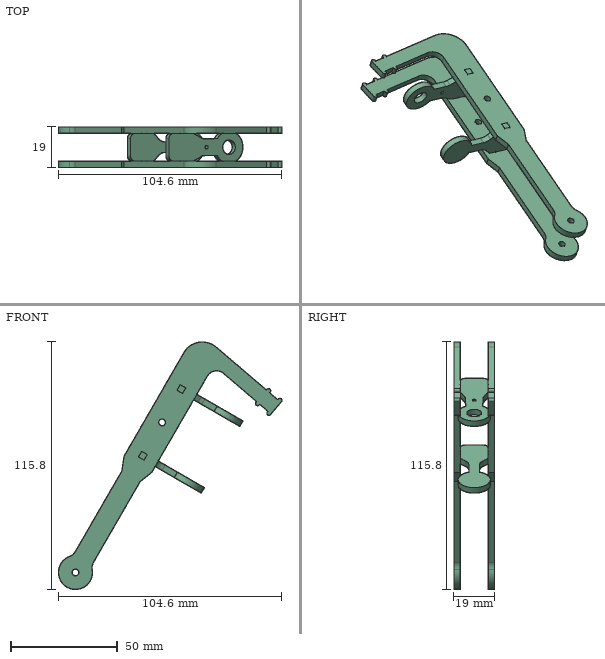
import cadquery as cq
import math

BAR_ANGLE = 60.0
ARM_ANGLE = -40.5
PLATE_THICKNESS = 3.0
PLATE_GAP = 13.0
OVERALL_HEIGHT = 115.8

HEAD_RADIUS = 8.0
HEAD_BLEND_RADIUS = 5.0
BOLT_HOLE_DIAMETER = 3.0
HANDLE_WIDTH = 10.0
BAR_WIDTH = 15.0
TAPER_START = 51.9
TAPER_END = 58.4
BEND_OUTER_RADIUS = 10.0
BEND_INNER_RADIUS = 5.0

ARM_WIDTH = 7.2
ARM_END = 21.4
NUB_WIDTH = 2.0
NUB_HEIGHT = 1.4
NUB_GAP = 5.0

LOWER_SHELF_STATION = 63.0
UPPER_SHELF_STATION = 99.0
SHELF_THICKNESS = 3.0
SHELF_LENGTH = 40.0
SHELF_CORNER_RADIUS = 2.4
SHELF_NECK_BLEND_RADIUS = 5.0
SHELF_HEAD_RADIUS = 7.5
TAB_WIDTH = 3.0
LOWER_NECK_WIDTH = 5.0
LOWER_TAPER_START = 5.1
LOWER_TAPER_END = 9.1
UPPER_NECK_WIDTH = 8.0
UPPER_TAPER_START = 5.4
UPPER_TAPER_END = 10.8
UPPER_EYE_DIAMETER = 6.7
PINHOLE_DIAMETER = 1.5
PINHOLE_OFFSET = 12.9

SHELF_STATIONS = (LOWER_SHELF_STATION, UPPER_SHELF_STATION)
MIDDLE_HOLE_STATION = sum(SHELF_STATIONS) / 2
PLATE_MID_Y = (PLATE_GAP + PLATE_THICKNESS) / 2
SHELF_HEAD_OFFSET = SHELF_LENGTH - SHELF_HEAD_RADIUS - BAR_WIDTH / 2
OUTER_WIDTH = PLATE_GAP + 2 * PLATE_THICKNESS
TURN = math.radians(BAR_ANGLE - ARM_ANGLE)
CUT_DEPTH = 4 * OUTER_WIDTH


def direction(angle):
    """Unit vector in the XZ plane at an angle above +X."""
    return math.cos(math.radians(angle)), math.sin(math.radians(angle))


def place(angle, along, left):
    """Point `along` a direction from the pivot and `left` of it, as (X, Z)."""
    dx, dz = direction(angle)
    return along * dx - left * dz, along * dz + left * dx


def meet(bar_left, arm_left):
    """Point where a line parallel to the bar crosses a line parallel to the arm."""
    along = (arm_left - bar_left * math.cos(TURN)) / math.sin(TURN)
    return place(BAR_ANGLE, along, bar_left)


BEND_CENTRE_Z = OVERALL_HEIGHT - HEAD_RADIUS - BEND_OUTER_RADIUS
BEND_LEFT = BAR_WIDTH / 2 - BEND_OUTER_RADIUS
BEND_ALONG = (BEND_CENTRE_Z - BEND_LEFT * direction(BAR_ANGLE)[0]) / direction(BAR_ANGLE)[1]
BEND_CENTRE_X = place(BAR_ANGLE, BEND_ALONG, BEND_LEFT)[0]
ARM_X, ARM_Z = direction(ARM_ANGLE)
ARM_TOP = BEND_CENTRE_Z * ARM_X - BEND_CENTRE_X * ARM_Z + BEND_OUTER_RADIUS
ARM_BOTTOM = ARM_TOP - ARM_WIDTH


def xz_plane(y):
    """Plane whose local axes are X and Z and whose extrusions run toward -Y."""
    return cq.Workplane("XZ", origin=(0, y, 0))


def shelf_plane(station):
    """Mid-plane of a shelf: local X points away from the bar, local Y is the part's Y."""
    x, z = place(BAR_ANGLE, station, 0)
    dx, dz = direction(BAR_ANGLE)
    return cq.Workplane(cq.Plane(origin=(x, 0, z), xDir=(dz, 0, -dx), normal=(dx, 0, dz)))


def nearest(x, y, z):
    """Selector for the edge closest to a point."""
    return cq.selectors.NearestToPointSelector((x, y, z))


def square_on_bar(station, size, length):
    """Square bar along Y, centred on the bar's centre line at a station."""
    x, z = place(BAR_ANGLE, station, 0)
    return (
        cq.Workplane("XY")
        .box(size, length, size)
        .rotate((0, 0, 0), (0, 1, 0), -BAR_ANGLE)
        .translate((x, 0, z))
    )


def nub(end, edge, side):
    """Round-ended nub that ends at `end` along the arm and stands out of an arm edge."""
    radius = NUB_WIDTH / 2
    start = end - NUB_WIDTH
    root = edge - side * radius
    shoulder = edge + side * (NUB_HEIGHT - radius)
    crown = edge + side * NUB_HEIGHT
    return (
        xz_plane(PLATE_THICKNESS / 2)
        .moveTo(*place(ARM_ANGLE, start, root))
        .lineTo(*place(ARM_ANGLE, start, shoulder))
        .threePointArc(place(ARM_ANGLE, start + radius, crown), place(ARM_ANGLE, end, shoulder))
        .lineTo(*place(ARM_ANGLE, end, root))
        .close()
        .extrude(PLATE_THICKNESS)
    )


def make_plate(mid_y):
    """Hooked side plate, centred on mid_y."""
    half_handle = HANDLE_WIDTH / 2
    half_bar = BAR_WIDTH / 2
    outer_corner = meet(half_bar, ARM_TOP)
    inner_corner = meet(-half_bar, ARM_BOTTOM)
    outline = [
        place(BAR_ANGLE, 0, half_handle),
        place(BAR_ANGLE, TAPER_START, half_handle),
        place(BAR_ANGLE, TAPER_END, half_bar),
        outer_corner,
        place(ARM_ANGLE, ARM_END, ARM_TOP),
        place(ARM_ANGLE, ARM_END, ARM_BOTTOM),
        inner_corner,
        place(BAR_ANGLE, TAPER_END, -half_bar),
        place(BAR_ANGLE, TAPER_START, -half_handle),
        place(BAR_ANGLE, 0, -half_handle),
    ]
    plate = xz_plane(PLATE_THICKNESS / 2).polyline(outline).close().extrude(PLATE_THICKNESS)

    for corner, radius in ((outer_corner, BEND_OUTER_RADIUS), (inner_corner, BEND_INNER_RADIUS)):
        plate = plate.edges("|Y").edges(nearest(corner[0], 0, corner[1])).fillet(radius)

    plate = plate.union(xz_plane(PLATE_THICKNESS / 2).circle(HEAD_RADIUS).extrude(PLATE_THICKNESS))
    root_along = math.sqrt(HEAD_RADIUS**2 - half_handle**2)
    for side in (1, -1):
        x, z = place(BAR_ANGLE, root_along, side * half_handle)
        plate = plate.edges("|Y").edges(nearest(x, 0, z)).fillet(HEAD_BLEND_RADIUS)

    for end in (ARM_END, ARM_END - NUB_WIDTH - NUB_GAP):
        plate = plate.union(nub(end, ARM_TOP, 1))
        plate = plate.union(nub(end, ARM_BOTTOM, -1))

    bolt_places = [place(BAR_ANGLE, station, 0) for station in (0, MIDDLE_HOLE_STATION)]
    bolt_holes = (
        xz_plane(CUT_DEPTH / 2).pushPoints(bolt_places).circle(BOLT_HOLE_DIAMETER / 2).extrude(CUT_DEPTH)
    )
    plate = plate.cut(bolt_holes)
    for station in SHELF_STATIONS:
        plate = plate.cut(square_on_bar(station, TAB_WIDTH, CUT_DEPTH))
    return plate.translate((0, mid_y, 0))


def make_shelf(station, neck_width, taper_start, taper_end):
    """Paddle-shaped shelf square to the bar, with a tab through each plate."""
    back = -BAR_WIDTH / 2
    half_gap = PLATE_GAP / 2
    half_neck = neck_width / 2

    sketch = shelf_plane(station).workplane(offset=-SHELF_THICKNESS / 2)
    shelf = (
        sketch.moveTo(back, -half_gap)
        .lineTo(taper_start, -half_gap)
        .lineTo(taper_end, -half_neck)
        .lineTo(SHELF_HEAD_OFFSET, -half_neck)
        .lineTo(SHELF_HEAD_OFFSET, half_neck)
        .lineTo(taper_end, half_neck)
        .lineTo(taper_start, half_gap)
        .lineTo(back, half_gap)
        .close()
        .extrude(SHELF_THICKNESS)
    )
    dx, dz = direction(BAR_ANGLE)
    along_bar = cq.selectors.ParallelDirSelector(cq.Vector(dx, 0, dz))
    for distance, half_width, radius in (
        (back, half_gap, SHELF_CORNER_RADIUS),
        (taper_end, half_neck, SHELF_NECK_BLEND_RADIUS),
    ):
        corner_x, corner_z = place(BAR_ANGLE, station, -distance)
        for side in (1, -1):
            corner = nearest(corner_x, side * half_width, corner_z)
            shelf = shelf.edges(along_bar).edges(corner).fillet(radius)

    head = sketch.center(SHELF_HEAD_OFFSET, 0).circle(SHELF_HEAD_RADIUS).extrude(SHELF_THICKNESS)
    return shelf.union(head).union(square_on_bar(station, TAB_WIDTH, OUTER_WIDTH))


def bore_shelf(shelf, station, offset, diameter):
    """Hole through a shelf, parallel to the bar and `offset` from its centre line."""
    hole = shelf_plane(station).center(offset, 0).circle(diameter / 2).extrude(SHELF_THICKNESS, both=True)
    return shelf.cut(hole)


plates = [make_plate(side * PLATE_MID_Y) for side in (-1, 1)]
lower_shelf = make_shelf(LOWER_SHELF_STATION, LOWER_NECK_WIDTH, LOWER_TAPER_START, LOWER_TAPER_END)
upper_shelf = make_shelf(UPPER_SHELF_STATION, UPPER_NECK_WIDTH, UPPER_TAPER_START, UPPER_TAPER_END)

upper_shelf = bore_shelf(upper_shelf, UPPER_SHELF_STATION, SHELF_HEAD_OFFSET, UPPER_EYE_DIAMETER)
upper_shelf = bore_shelf(upper_shelf, UPPER_SHELF_STATION, PINHOLE_OFFSET, PINHOLE_DIAMETER)

result = cq.Compound.makeCompound([*[plate.val() for plate in plates], lower_shelf.val(), upper_shelf.val()])